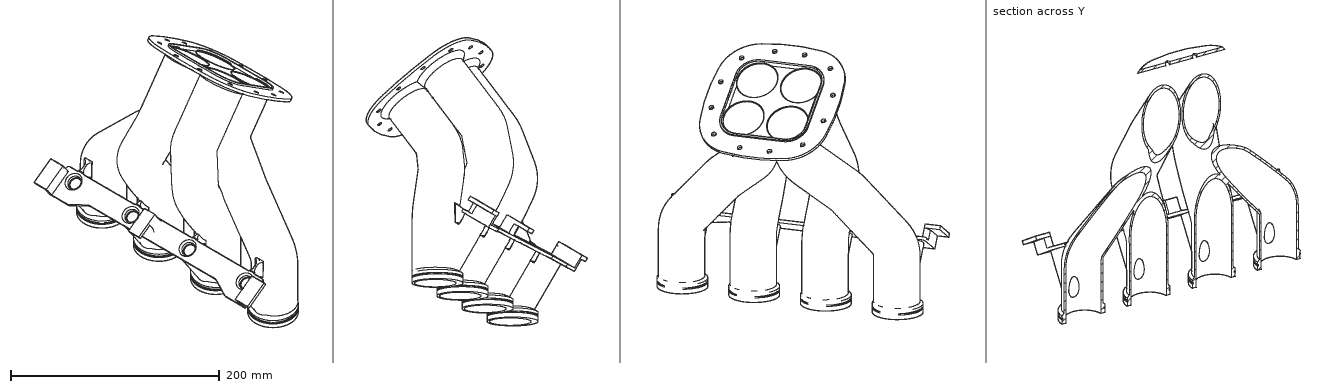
import cadquery as cq
import math

inner_port_x = 37.0
outer_port_x = 3 * inner_port_x
tube_outer_radius = 22.4
tube_bore_radius = 20.0
foot_height = 57.0
first_bend_height = 68.0
bend_radius = 25.0
forward_bend_radius = 23.0
sway_radius = 100.0

outer_bend = (63.1, 10.1, 119.1)
outer_last_bend_depth = 60.5
inner_sway_y = -18.8
inner_sway_z = 99.0
inner_bend_y = -31.6
inner_bend_z = 124.4
inner_last_bend_depth = 75.5

flange_tilt = math.radians(37.0)
flange_center_y = 44.9
flange_center_z = 213.6
flange_half_width = 67.2
flange_side_end = (64.7, 31.0)
flange_corner = 53.5
flange_thickness = 3.0
outlet_half_pitch = 22.75
lip_width = 90.0
lip_corner_radius = 20.0
lip_height = 1.7
lip_top_width = 1.8
pocket_depth = 2.7
pocket_wall_run = 2.2
cone_base_radius = 28.0
cone_height = 5.5
outlet_chamfer = 0.6
bolt_hole_diameter = 4.5
bolt_near = 15.4
bolt_diagonal = 45.8
bolt_far = 57.8

sleeve_radius = 24.5
sleeve_offset_y = -2.3
sleeve_height = 11.5
sleeve_taper_height = 2.6
groove_bottom = 4.7
groove_width = 1.3
groove_depth = 1.0

rail_tilt = math.radians(32.0)
rail_y = -42.6
rail_z = 62.5
rail_half_length = 127.0
rail_thickness = 3.2
rail_back = 11.0
rail_front = -12.2
rail_end_front = -21.9
rail_taper_inner_x = 82.2
rail_taper_outer_x = 101.6
rail_corner_radius = 3.0

clip_height = 14.0
clip_plate = 4.0
end_clip_inner_x = 122.5
end_clip_outer_x = 138.5
end_clip_back = 5.9
end_clip_front = -22.2
end_clip_bevel_y = 0.0
mid_clip_center_x = -13.3
mid_clip_width = 13.5
mid_clip_back = 10.0
mid_clip_front = -16.9
mid_clip_post_front = -1.0
mid_clip_fillet = 2.3

boss_radius = 11.5
boss_length = 58.0
boss_fillet = 2.0
injector_seat_radius = 6.8
injector_seat_depth = 5.5
injector_bore_radius = 5.8
injector_bore_depth = 52.0
injector_mouth_radius = 8.8
injector_mouth_depth = 2.0

gusset_thickness = 2.2
gusset_flare = 3.8
gusset_tube_y = -22.2
gusset_bar_y = -32.0
gusset_root_y = -21.0
gusset_tip = (-31.6, 68.3)
gusset_lower_tip = (-26.0, 57.2)
gusset_top_z = 76.6

port_xs = [-outer_port_x, -inner_port_x, inner_port_x, outer_port_x]

flange_plane = cq.Plane(
    origin=(0, flange_center_y, flange_center_z),
    xDir=(1, 0, 0),
    normal=(0, math.sin(flange_tilt), math.cos(flange_tilt)),
)
rail_plane = cq.Plane(
    origin=(0, rail_y, rail_z),
    xDir=(1, 0, 0),
    normal=(0, -math.sin(rail_tilt), math.cos(rail_tilt)),
)


def cone_into(plane, local_point, start_radius, end_radius, height):
    """Cone starting at a point of a tilted frame and running down its normal."""
    return cq.Workplane(
        obj=cq.Solid.makeCone(
            start_radius, end_radius, height, plane.toWorldCoords(local_point), -plane.zDir
        )
    )


def on_outlet_axis(side, row, distance_below):
    """Point on the axis of one outlet, a distance below the flange face."""
    return flange_plane.toWorldCoords(
        (side * outlet_half_pitch, row * outlet_half_pitch, -distance_below)
    )


def bent_path(points, radii):
    """Wire through the points, each inner corner rounded by its own radius."""
    edges = []
    start = points[0]
    for before, corner, after, radius in zip(points, points[1:], points[2:], radii):
        back = (before - corner).normalized()
        ahead = (after - corner).normalized()
        half_angle = back.getAngle(ahead) / 2
        tangent = radius / math.tan(half_angle)
        apex = radius / math.sin(half_angle) - radius
        arc_start = corner + back * tangent
        arc_end = corner + ahead * tangent
        arc_middle = corner + (back + ahead).normalized() * apex
        edges.append(cq.Edge.makeLine(start, arc_start))
        edges.append(cq.Edge.makeThreePointArc(arc_start, arc_middle, arc_end))
        start = arc_end
    edges.append(cq.Edge.makeLine(start, points[-1]))
    return cq.Wire.assembleEdges(edges)


def outer_runner_path(side):
    bend_x, bend_y, bend_z = outer_bend
    points = [
        cq.Vector(side * outer_port_x, 0, foot_height),
        cq.Vector(side * outer_port_x, 0, first_bend_height),
        cq.Vector(side * bend_x, bend_y, bend_z),
        on_outlet_axis(side, 1, outer_last_bend_depth),
        on_outlet_axis(side, 1, 0),
    ]
    return bent_path(points, [bend_radius] * 3)


def inner_runner_path(side):
    points = [
        cq.Vector(side * inner_port_x, 0, foot_height),
        cq.Vector(side * inner_port_x, 0, first_bend_height),
        cq.Vector(side * inner_port_x, inner_sway_y, inner_sway_z),
        cq.Vector(side * inner_port_x, inner_bend_y, inner_bend_z),
        on_outlet_axis(side, -1, inner_last_bend_depth),
        on_outlet_axis(side, -1, 0),
    ]
    return bent_path(points, [bend_radius, sway_radius, forward_bend_radius, bend_radius])


def swept_tube(path, radius):
    start = path.startPoint().toTuple()
    return cq.Workplane("XY", origin=start).circle(radius).sweep(cq.Workplane(obj=path))


runner_paths = []
for side in (-1, 1):
    runner_paths.append(outer_runner_path(side))
    runner_paths.append(inner_runner_path(side))


def head_sleeve(x):
    shoulder = sleeve_height - sleeve_taper_height
    sleeve = cq.Workplane("XY").circle(sleeve_radius).extrude(shoulder)
    groove = (
        cq.Workplane("XY")
        .workplane(offset=groove_bottom)
        .circle(sleeve_radius)
        .circle(sleeve_radius - groove_depth)
        .extrude(groove_width)
    )
    taper = (
        cq.Workplane("XY")
        .workplane(offset=shoulder)
        .circle(sleeve_radius)
        .workplane(offset=sleeve_taper_height)
        .center(0, -sleeve_offset_y)
        .circle(tube_outer_radius)
        .loft(ruled=True)
    )
    return sleeve.cut(groove).union(taper).translate((x, sleeve_offset_y, 0))


def outlet_centers():
    return [(i * outlet_half_pitch, j * outlet_half_pitch) for i in (-1, 1) for j in (-1, 1)]


def flange_plate():
    far, near = flange_side_end
    half = flange_half_width
    corner = flange_corner
    return (
        cq.Workplane(flange_plane)
        .moveTo(far, -near)
        .threePointArc((half, 0), (far, near))
        .threePointArc((corner, corner), (near, far))
        .threePointArc((0, half), (-near, far))
        .threePointArc((-corner, corner), (-far, near))
        .threePointArc((-half, 0), (-far, -near))
        .threePointArc((-corner, -corner), (-near, -far))
        .threePointArc((0, -half), (near, -far))
        .threePointArc((corner, -corner), (far, -near))
        .close()
        .extrude(-flange_thickness)
    )


def rounded_square(offset, width, corner_radius):
    return (
        cq.Workplane(flange_plane)
        .workplane(offset=offset)
        .sketch()
        .rect(width, width)
        .vertices()
        .fillet(corner_radius)
        .finalize()
    )


def outlet_cones():
    return [
        cone_into(flange_plane, (x, y, -flange_thickness), cone_base_radius, tube_outer_radius, cone_height)
        for x, y in outlet_centers()
    ]


def flange_pocket():
    pocket_width = lip_width - 2 * lip_top_width
    pocket_radius = lip_corner_radius - lip_top_width
    taper = math.degrees(math.atan2(pocket_wall_run, pocket_depth))
    return rounded_square(lip_height, pocket_width, pocket_radius).extrude(-pocket_depth, taper=taper)


def outlet_chamfers():
    floor = lip_height - pocket_depth
    rim_radius = tube_bore_radius + outlet_chamfer
    return [
        cone_into(flange_plane, (x, y, floor), rim_radius, tube_bore_radius, outlet_chamfer)
        for x, y in outlet_centers()
    ]


def flange_bolt_holes():
    spots = []
    for a, b in ((bolt_near, bolt_far), (bolt_diagonal, bolt_diagonal), (bolt_far, bolt_near)):
        spots += [(i * a, j * b) for i in (-1, 1) for j in (-1, 1)]
    return (
        cq.Workplane(flange_plane)
        .pushPoints(spots)
        .circle(bolt_hole_diameter / 2)
        .extrude(-flange_thickness)
    )


def box_between(x_min, x_max, y_min, y_max, z_min, z_max):
    """Box given by its limits in the rail frame."""
    corner = cq.Vector(x_min, y_min, z_min)
    return cq.Workplane(obj=cq.Solid.makeBox(x_max - x_min, y_max - y_min, z_max - z_min, corner))


def rail_bar():
    right_half = [
        (rail_half_length, rail_end_front),
        (rail_taper_outer_x, rail_end_front),
        (rail_taper_inner_x, rail_front),
    ]
    left_half = [(-x, y) for x, y in reversed(right_half)]
    back_edge = [(-rail_half_length, rail_back), (rail_half_length, rail_back)]
    bar = cq.Workplane("XY").polyline(back_edge + right_half + left_half).close().extrude(-rail_thickness)
    return bar.edges("|Z and >Y").fillet(rail_corner_radius)


def end_clip(side):
    wall_outline = [
        (end_clip_inner_x, rail_end_front),
        (rail_half_length, rail_end_front),
        (rail_half_length, end_clip_bevel_y),
        (end_clip_inner_x, end_clip_back),
    ]
    wall = (
        cq.Workplane("XY")
        .workplane(offset=-rail_thickness)
        .polyline(wall_outline)
        .close()
        .extrude(rail_thickness + clip_height)
    )
    plate = box_between(
        end_clip_inner_x, end_clip_outer_x, end_clip_front, end_clip_back,
        clip_height - clip_plate, clip_height,
    )
    clip = wall.union(plate)
    return clip if side > 0 else clip.mirror("YZ")


def bar_with_middle_clip():
    x_min = mid_clip_center_x - mid_clip_width / 2
    x_max = mid_clip_center_x + mid_clip_width / 2
    post = box_between(x_min, x_max, mid_clip_post_front, mid_clip_back, -rail_thickness, clip_height)
    plate = box_between(
        x_min, x_max, mid_clip_front, mid_clip_back, clip_height - clip_plate, clip_height
    )
    margin = 0.9 * (rail_back - mid_clip_back)
    around_post_foot = cq.selectors.BoxSelector(
        (x_min - margin, mid_clip_post_front - margin, -margin),
        (x_max + margin, mid_clip_back - margin, margin),
    )
    joined = rail_bar().union(post).edges(around_post_foot).fillet(mid_clip_fillet)
    return joined.union(plate)


def fuel_rail():
    rail = bar_with_middle_clip()
    for side in (-1, 1):
        rail = rail.union(end_clip(side))
    return cq.Workplane(obj=rail.val().moved(rail_plane.location))


def runner_foot(x):
    """Straight start of a runner with the injector boss blended into it."""
    tube = cq.Workplane("XY").circle(tube_outer_radius).extrude(foot_height)
    boss = cq.Workplane(rail_plane).circle(boss_radius).extrude(-boss_length)
    foot = tube.union(boss).edges("%BSPLINE").fillet(boss_fillet)
    return foot.translate((x, 0, 0))


def foot_bore(x):
    return cq.Workplane("XY").center(x, 0).circle(tube_bore_radius).extrude(foot_height)


def injector_bore(x):
    mouth = cone_into(
        rail_plane, (x, 0, 0), injector_mouth_radius, injector_seat_radius, injector_mouth_depth
    )
    seat = cq.Workplane(rail_plane).center(x, 0).circle(injector_seat_radius).extrude(-injector_seat_depth)
    bore = cq.Workplane(rail_plane).center(x, 0).circle(injector_bore_radius).extrude(-injector_bore_depth)
    return mouth.union(seat).union(bore)


def gusset(x):
    """Thin web from runner to bar, flaring with concave arcs at both ends."""
    profile = [
        (gusset_root_y, gusset_top_z),
        gusset_tip,
        gusset_lower_tip,
        (gusset_root_y, gusset_lower_tip[1]),
    ]
    web = (
        cq.Workplane("YZ")
        .polyline(profile)
        .close()
        .extrude(gusset_thickness / 2 + gusset_flare, both=True)
    )
    half_thin = gusset_thickness / 2
    half_wide = half_thin + gusset_flare
    tube_flare_y = gusset_tube_y - gusset_flare
    bar_flare_y = gusset_bar_y + gusset_flare
    plan = (
        cq.Workplane("XY")
        .moveTo(half_wide, 0)
        .lineTo(half_wide, gusset_tube_y)
        .radiusArc((half_thin, tube_flare_y), -gusset_flare)
        .lineTo(half_thin, bar_flare_y)
        .radiusArc((half_wide, gusset_bar_y), -gusset_flare)
        .lineTo(-half_wide, gusset_bar_y)
        .radiusArc((-half_thin, bar_flare_y), -gusset_flare)
        .lineTo(-half_thin, tube_flare_y)
        .radiusArc((-half_wide, gusset_tube_y), -gusset_flare)
        .lineTo(-half_wide, 0)
        .close()
        .extrude(gusset_top_z)
    )
    return web.intersect(plan).translate((x, 0, 0))


body = flange_plate().union(rounded_square(0, lip_width, lip_corner_radius).extrude(lip_height))
for cone in outlet_cones():
    body = body.union(cone)
for path in runner_paths:
    body = body.union(swept_tube(path, tube_outer_radius))
for x in port_xs:
    body = body.union(head_sleeve(x))
    body = body.union(runner_foot(x))
    body = body.union(gusset(x))
body = body.union(fuel_rail())

body = body.cut(flange_pocket())
for path in runner_paths:
    body = body.cut(swept_tube(path, tube_bore_radius))
for chamfer in outlet_chamfers():
    body = body.cut(chamfer)
body = body.cut(flange_bolt_holes())
for x in port_xs:
    body = body.cut(foot_bore(x))
    body = body.cut(injector_bore(x))

result = body